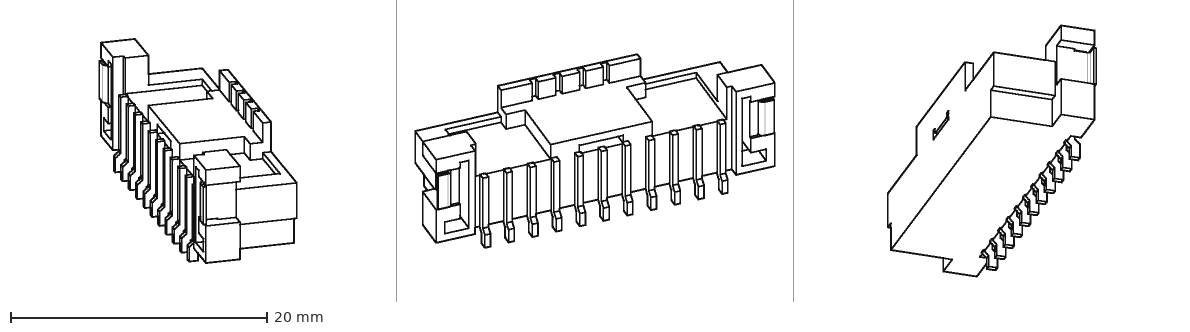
import cadquery as cq


length = 28.6
housing_depth = 7.85
housing_height = 7.8
front_overhang = 0.17
pin_drop = 1.37

body_front = 0.85
wing_half = 12.87
wing_bottom = 2.35
base_half = 12.13
body_top = 5.32
recess_floor = 4.8
back_wall = 0.7

hood_half = 4.3
hood_top = 6.18
tab_half = 5.9
tab_step_depth = 1.72

pitch = 2.0
pin_count = 11
pin_width = 0.5
pin_top = 4.9
pin_front = 0.25
pin_bend_back = 1.0
foot_thickness = 0.75
bend_top = 0.2
front_bend_bottom = -0.17
rear_bend_bottom = -0.43

groove_count = 4
groove_width = 0.51
groove_depth = 0.51

passage_half = 1.85
passage_bottom = 4.72
passage_top = 5.5
latch_half = 1.43
latch_drop = 0.43
latch_length = 1.3
latch_chamfer = 0.1

post_half = length / 2
post_depth = 2.77
post_inner = 10.58
post_front_inner = 11.0
window_bottom = 3.12
window_top = 6.52
window_inner = 13.2
window_recess_inner = 12.27
window_recess_depth = 0.23
slot_inner = 11.53
slot_bottom = 0.7
slot_top = 7.04
slot_foot_outer = 13.55
slot_foot_top = 1.77
slot_depth = 2.0

clip_thickness = 0.23
clip_leg_inner = window_inner - clip_thickness
clip_leg_back = 1.3
clip_outer = 14.19
clip_bottom = 3.2
clip_top = 6.35
clip_inner_radius = 0.17
clip_outer_radius = clip_inner_radius + clip_thickness


def block(x0, x1, y0, y1, z0, z1):
    """Box given by its limits on each axis."""
    return cq.Workplane("XY").box(x1 - x0, y1 - y0, z1 - z0, centered=False).translate((x0, y0, z0))


def centred_block(half, y0, y1, z0, z1):
    """Box that is symmetric about the middle of the length."""
    return block(-half, half, y0, y1, z0, z1)


def row(count):
    """X places of features spaced at the pin pitch about the middle."""
    return [(i - (count - 1) / 2) * pitch for i in range(count)]


def make_body():
    base = centred_block(base_half, body_front, housing_depth, 0, body_top)
    wings = centred_block(wing_half, body_front, housing_depth, wing_bottom, body_top)
    recess = centred_block(post_inner, 0, housing_depth - back_wall, recess_floor, body_top)
    return base.union(wings).cut(recess)


def make_hood():
    hood = centred_block(hood_half, body_front, housing_depth, 0, hood_top)
    tab_front = housing_depth - back_wall
    step = centred_block(tab_half, housing_depth - tab_step_depth, housing_depth, 0, hood_top)
    tab = centred_block(tab_half, tab_front, housing_depth, hood_top, housing_height)
    for x in row(groove_count):
        groove = block(
            x - groove_width / 2, x + groove_width / 2,
            tab_front, tab_front + groove_depth,
            hood_top, housing_height,
        )
        tab = tab.cut(groove)
    return hood.union(step).union(tab)


def make_passage():
    return centred_block(passage_half, 0, housing_depth, passage_bottom, passage_top)


def make_latch():
    """Hook under the passage roof at the back, with a sloped front face."""
    lip_y = housing_depth - latch_length
    lip_z = passage_top - latch_drop
    profile = [
        (lip_y, lip_z),
        (lip_y + latch_drop, passage_top),
        (housing_depth, passage_top),
        (housing_depth, lip_z),
    ]
    latch = cq.Workplane("YZ").polyline(profile).close().extrude(latch_half, both=True)
    return latch.faces("<Z").edges("|Y").chamfer(latch_chamfer)


def make_post():
    """End post at the +X end."""
    post = block(post_inner, post_half, body_front, post_depth, 0, housing_height)
    post = post.union(block(post_front_inner, post_half, 0, body_front, 0, housing_height))
    window = block(window_inner, post_half, 0, post_depth, window_bottom, window_top)
    window_recess = block(
        window_recess_inner, window_inner, 0, window_recess_depth, window_bottom, window_top
    )
    leg_pocket = block(clip_leg_inner, window_inner, 0, clip_leg_back, window_bottom, window_top)
    return post.cut(window).cut(window_recess).cut(leg_pocket)


def make_post_slot():
    """L-shaped blind slot in the front of the +X post."""
    upright = block(slot_inner, window_recess_inner, 0, slot_depth, slot_bottom, slot_top)
    foot = block(slot_inner, slot_foot_outer, 0, slot_depth, slot_bottom, slot_foot_top)
    return upright.union(foot)


def make_clip():
    """Clip of the +X post: leg in the post pocket, bent outward into a front flange."""
    front = -front_overhang
    flange_back = front + clip_thickness
    bend_end = front + clip_outer_radius
    return (
        cq.Workplane("XY", origin=(0, 0, clip_bottom))
        .moveTo(clip_leg_inner, clip_leg_back)
        .lineTo(clip_leg_inner, bend_end)
        .radiusArc((clip_leg_inner + clip_outer_radius, front), -clip_outer_radius)
        .lineTo(clip_outer, front)
        .lineTo(clip_outer, flange_back)
        .lineTo(window_inner + clip_inner_radius, flange_back)
        .radiusArc((window_inner, bend_end), clip_inner_radius)
        .lineTo(window_inner, clip_leg_back)
        .close()
        .extrude(clip_top - clip_bottom)
    )


def make_pin(x):
    foot_front = -front_overhang
    foot_back = foot_front + foot_thickness
    profile = [
        (pin_front, pin_top),
        (pin_front, bend_top),
        (foot_front, front_bend_bottom),
        (foot_front, -pin_drop),
        (foot_back, -pin_drop),
        (foot_back, rear_bend_bottom),
        (pin_bend_back, 0),
        (body_front, 0),
        (body_front, pin_top),
    ]
    pin = cq.Workplane("YZ").polyline(profile).close().extrude(pin_width / 2, both=True)
    return pin.translate((x, 0, 0))


slot = make_post_slot()
end_post = make_post().union(make_clip())

result = make_body().union(make_hood()).cut(make_passage()).union(make_latch())
result = result.union(end_post).union(end_post.mirror("YZ"))
result = result.cut(slot).cut(slot.mirror("YZ"))
for pin_x in row(pin_count):
    result = result.union(make_pin(pin_x))